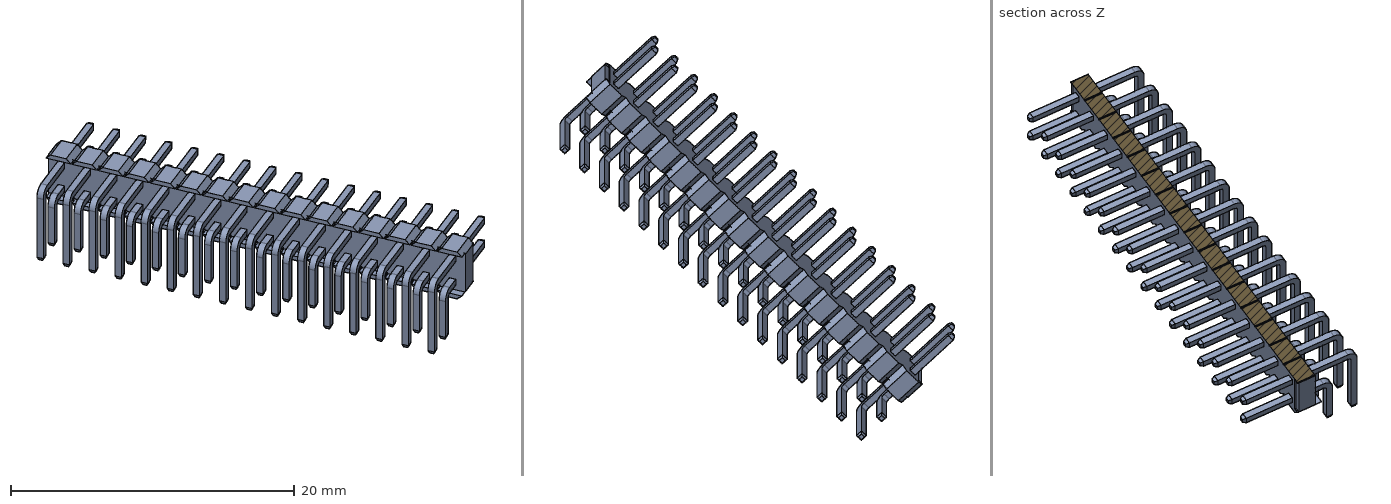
import cadquery as cq

PITCH = 2.0
COLUMNS = 16
ROWS = 2

BODY_LENGTH = COLUMNS * PITCH
BODY_DEPTH = 2.0
BODY_HEIGHT = ROWS * PITCH
NOTCH_DEPTH = 0.4
NOTCH_HALF_WIDTH = 0.4
LIP_THICKNESS = 0.35
FRONT_RECESS_DEPTH = 0.55
BACK_RELIEF_DEPTH = 0.1
BACK_RELIEF_WIDTH = 0.4

PIN_SIZE = 0.5
BEND_OUTER_RADIUS = 0.75
BEND_MID_RADIUS = BEND_OUTER_RADIUS - PIN_SIZE / 2
TIP_LENGTH = 0.25
TIP_INSET = 0.1
MATING_LENGTH = 4.0
OUTER_LEG_REACH = 3.3
LEG_END_Z = -4.8

FRONT_Y = -BODY_DEPTH / 2
BACK_Y = BODY_DEPTH / 2
MATING_END_Y = BACK_Y + MATING_LENGTH
OUTER_LEG_Y = FRONT_Y - OUTER_LEG_REACH + PIN_SIZE / 2


def column_x(column):
    """X position of the centre of a column of pins."""
    return (column - (COLUMNS - 1) / 2) * PITCH


def make_body_segment(x):
    """One pitch of the body: an octagonal prism along Y."""
    return (
        cq.Workplane("XY")
        .box(PITCH, BODY_DEPTH, BODY_HEIGHT)
        .edges("|Y")
        .chamfer(NOTCH_DEPTH, NOTCH_HALF_WIDTH)
        .translate((x, 0, 0))
    )


def make_front_recess():
    """Full-length cutter along the front that leaves a top and a bottom lip."""
    height = BODY_HEIGHT - 2 * LIP_THICKNESS
    recess = cq.Workplane("XY").box(BODY_LENGTH, FRONT_RECESS_DEPTH, height)
    return recess.translate((0, FRONT_Y + FRONT_RECESS_DEPTH / 2, 0))


def make_back_relief(side):
    """Shallow cutter for the back corner at one end, between the sloped faces."""
    height = BODY_HEIGHT - 2 * NOTCH_DEPTH
    center_x = side * (BODY_LENGTH - BACK_RELIEF_WIDTH) / 2
    relief = cq.Workplane("XY").box(BACK_RELIEF_WIDTH, BACK_RELIEF_DEPTH, height)
    return relief.translate((center_x, BACK_Y - BACK_RELIEF_DEPTH / 2, 0))


def make_body():
    """Row of joined segments with a front recess and relieved back corners."""
    body = make_body_segment(column_x(0))
    for column in range(1, COLUMNS):
        body = body.union(make_body_segment(column_x(column)))
    body = body.cut(make_front_recess())
    for side in (-1, 1):
        body = body.cut(make_back_relief(side))
    return body


def make_tip(base, direction):
    """Tapered square tip growing from the base point along the direction."""
    tip_size = PIN_SIZE - 2 * TIP_INSET
    plane = cq.Plane(origin=base, xDir=(1, 0, 0), normal=direction)
    return (
        cq.Workplane(plane)
        .rect(PIN_SIZE, PIN_SIZE)
        .workplane(offset=TIP_LENGTH)
        .rect(tip_size, tip_size)
        .loft()
    )


def make_pin(row_z, leg_y):
    """Bent pin at X = 0: straight back along Y, bent down into a leg at leg_y."""
    mating_base_y = MATING_END_Y - TIP_LENGTH
    leg_base_z = LEG_END_Z + TIP_LENGTH
    path = (
        cq.Workplane("YZ")
        .moveTo(mating_base_y, row_z)
        .lineTo(leg_y + BEND_MID_RADIUS, row_z)
        .radiusArc((leg_y, row_z - BEND_MID_RADIUS), -BEND_MID_RADIUS)
        .lineTo(leg_y, leg_base_z)
    )
    shank = (
        cq.Workplane("XZ", origin=(0, mating_base_y, row_z))
        .rect(PIN_SIZE, PIN_SIZE)
        .sweep(path)
    )
    mating_tip = make_tip((0, mating_base_y, row_z), (0, 1, 0))
    leg_tip = make_tip((0, leg_y, leg_base_z), (0, 0, -1))
    return shank.union(mating_tip).union(leg_tip)


result = make_body()
for row in range(ROWS):
    row_z = ((ROWS - 1) / 2 - row) * PITCH
    pin = make_pin(row_z, OUTER_LEG_Y + row * PITCH)
    for column in range(COLUMNS):
        result = result.union(pin.translate((column_x(column), 0, 0)))